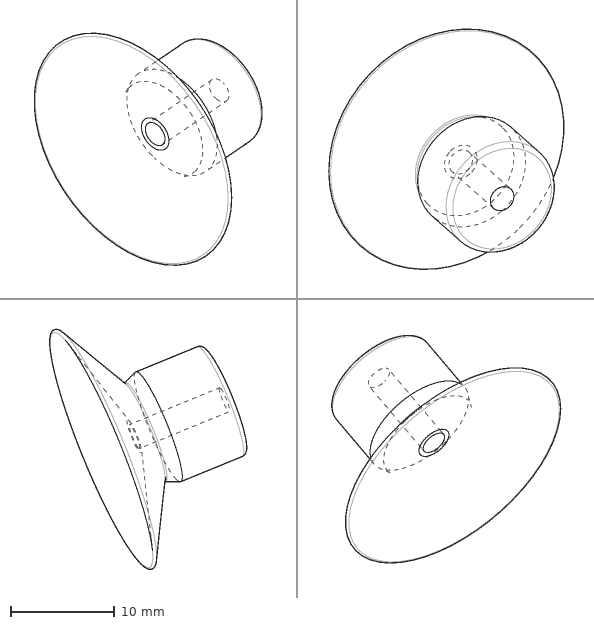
import cadquery as cq
import math

overall_length = 13.02
cup_radius = 12.52
outer_angle = math.radians(29.6)
rim_round = 0.19
body_radius = 5.75
body_fillet = 0.5
taper_start = 6.02
neck_radius = 5.13
neck_fillet = 0.18
bore_radius = 1.25
cup_floor_radius = 1.75
cup_depth = 3.5

rim_center = (cup_radius - rim_round, rim_round)


def inner_face_angle():
    """Slope of the line from the edge of the cup floor that is tangent to the rim round."""
    run = rim_center[0] - cup_floor_radius
    rise = cup_depth - rim_center[1]
    to_center = math.atan2(rise, run)
    return to_center + math.asin(rim_round / math.hypot(run, rise))


def rim_point(direction):
    """Point on the rim round in the given direction, measured from the radial axis."""
    return (
        rim_center[0] + rim_round * math.cos(direction),
        rim_center[1] + rim_round * math.sin(direction),
    )


right_angle = math.pi / 2
outer_direction = right_angle - outer_angle
inner_direction = -right_angle - inner_face_angle()
rim_outer = rim_point(outer_direction)
rim_inner = rim_point(inner_direction)
rim_tip = rim_point((outer_direction + inner_direction) / 2)

neck_y = rim_outer[1] + (rim_outer[0] - neck_radius) * math.tan(outer_angle)


def make_revolved_body():
    """Cup, neck, tapered shoulder, body and through bore in one revolution."""
    profile = (
        cq.Workplane("XY")
        .moveTo(bore_radius, cup_depth)
        .lineTo(cup_floor_radius, cup_depth)
        .lineTo(*rim_inner)
        .threePointArc(rim_tip, rim_outer)
        .lineTo(neck_radius, neck_y)
        .lineTo(body_radius, taper_start)
        .lineTo(body_radius, overall_length)
        .lineTo(bore_radius, overall_length)
        .close()
    )
    return profile.revolve(360, (0, 0, 0), (0, 1, 0))


def edge_circle(radius, y):
    """Selector for the circular edge around the axis at this radius and height."""
    margin = 0.01
    reach = radius + margin
    return cq.selectors.BoxSelector(
        (-reach, y - margin, -reach), (reach, y + margin, reach), boundingbox=True
    )


def round_edges(part):
    """Blend the neck crease and round the outer edge of the back face."""
    part = part.edges(edge_circle(neck_radius, neck_y)).fillet(neck_fillet)
    back_edges = part.faces(">Y").edges(cq.selectors.RadiusNthSelector(-1))
    return back_edges.fillet(body_fillet)


result = round_edges(make_revolved_body())